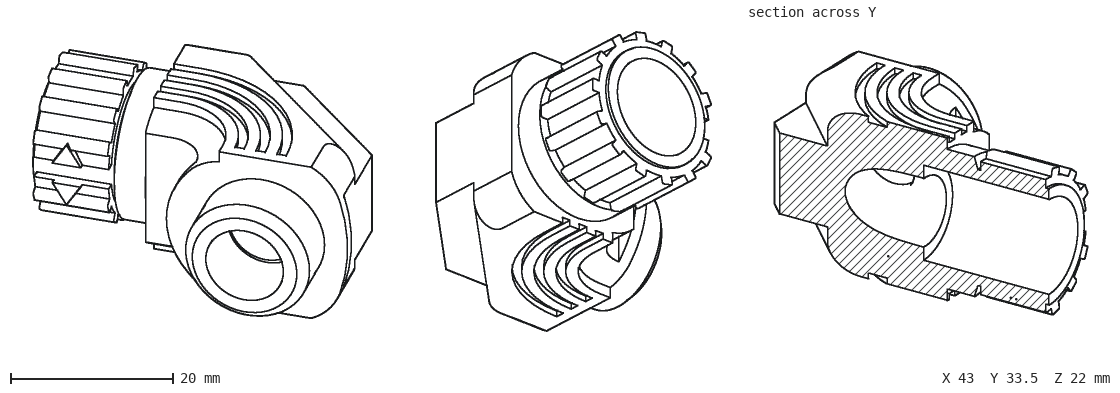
import cadquery as cq


body_start = 15.0
back_face = 10.6
right_face = 42.0
body_end = -15.45
half_height = 11.0
back_cut = 12.8

bend_x = 18.5
bend_y = -13.8
inner_wall_radius = 4.45
inner_step_radius = 7.9
inner_wall_half_height = 7.9
inner_step_half_height = 9.6
inner_corner_radius = 6.9

corner_width = 3.7
corner_drop = 4.35
corner_radius = 7.3

ledge_half_height = 5.5
ledge_width = 5.0
ledge_edge_radius = 3.55

groove_count = 3
groove_width = 1.2
groove_depth = 0.77
groove_pitch = 2.7
first_groove_radius = 9.45

nose_tip_left = 19.6
nose_root_left = 22.3
nose_root_half_height = 7.22
nose_tip_right = 43.0

nipple_x = 32.05
nipple_diameter = 16.0
nipple_end = -22.88
nipple_chamfer = 1.25
nipple_bore = 10.0

core_diameter = 15.8
nut_bore = 12.8
nut_start = 0.47
nut_end = 10.1
nut_radius = 9.05
rib_count = 14
rib_radius = 10.0
rib_width = 1.68
rib_edge_radius = 0.2
slot_half_width = 1.4
slot_angle = 180
collar_start = 10.5
collar_diameter = 19.0
collar_chamfer_length = 0.5
collar_chamfer_depth = (collar_diameter - core_diameter) / 2

arrow_face = -9.55
arrow_centre = 4.85
arrow_base = 3.7
arrow_tip = 4.35

passage_diameter = 9.3
passage_bend_radius = 13.4

overlap = 0.45


def rod(diameter, start, end):
    """Cylinder about the X axis."""
    return cq.Workplane("YZ", origin=(start, 0, 0)).circle(diameter / 2).extrude(end - start)


def nipple_rod(diameter, start, end):
    """Cylinder about the nipple axis, running toward -Y."""
    return cq.Workplane("XZ", origin=(nipple_x, start, 0)).circle(diameter / 2).extrude(start - end)


def both_sides(shape):
    """The shape together with its mirror image below Z = 0."""
    return shape.union(shape.mirror("XY"))


def make_blank():
    return (
        cq.Workplane("XY", origin=(0, 0, -half_height))
        .moveTo(body_start, back_face)
        .lineTo(right_face - back_cut, back_face)
        .lineTo(right_face, back_face - back_cut)
        .lineTo(right_face, body_end)
        .lineTo(bend_x + inner_wall_radius, body_end)
        .lineTo(bend_x + inner_wall_radius, bend_y)
        .radiusArc((bend_x, bend_y + inner_wall_radius), -inner_wall_radius)
        .lineTo(body_start, bend_y + inner_wall_radius)
        .close()
        .extrude(2 * half_height)
    )


def make_noses():
    """Flange arcs that stand out from the inner and outer walls at the nipple end."""
    left = bend_x + inner_wall_radius
    corner_height = half_height - corner_drop
    return (
        cq.Workplane("XZ", origin=(0, bend_y, 0))
        .moveTo(left, -inner_wall_half_height)
        .lineTo(nose_root_left, -nose_root_half_height)
        .threePointArc((nose_tip_left, 0), (nose_root_left, nose_root_half_height))
        .lineTo(left, inner_wall_half_height)
        .lineTo(right_face, corner_height)
        .threePointArc((nose_tip_right, 0), (right_face, -corner_height))
        .close()
        .extrude(bend_y - body_end)
    )


def inner_corner_section(workplane, centre):
    """Section outside the rounded inner edge, measured outward from the bend centre."""
    return (
        workplane.moveTo(centre + inner_wall_radius, inner_wall_half_height)
        .radiusArc((centre + inner_step_radius, inner_step_half_height), inner_corner_radius)
        .lineTo(centre + inner_step_radius, half_height + overlap)
        .lineTo(centre, half_height + overlap)
        .lineTo(centre, inner_wall_half_height)
        .close()
    )


def make_inner_corner():
    first_leg = inner_corner_section(cq.Workplane("YZ", origin=(body_start, 0, 0)), bend_y)
    bend = inner_corner_section(cq.Workplane("XZ", origin=(0, bend_y, 0)), bend_x)
    last_leg = inner_corner_section(cq.Workplane("XZ", origin=(0, bend_y, 0)), bend_x)
    return (
        first_leg.extrude(bend_x - body_start)
        .union(bend.revolve(90, (bend_x, 0, 0), (bend_x, 1, 0)))
        .union(last_leg.extrude(bend_y - body_end))
    )


def outer_corner_section(workplane, face):
    """Section outside the rounded edge of an outer face."""
    return (
        workplane.moveTo(face - corner_width, half_height)
        .radiusArc((face, half_height - corner_drop), corner_radius)
        .lineTo(face + overlap, half_height - corner_drop)
        .lineTo(face + overlap, half_height + overlap)
        .lineTo(face - corner_width, half_height + overlap)
        .close()
    )


def make_outer_corners():
    back = outer_corner_section(cq.Workplane("YZ", origin=(body_start, 0, 0)), back_face)
    right = outer_corner_section(cq.Workplane("XZ", origin=(0, back_face, 0)), right_face)
    return back.extrude(right_face - body_start).union(right.extrude(back_face - body_end))


def make_ledge_cut():
    """Space above the ledge, bounded by a wall parallel to the 45 degree cut."""
    middle_x = right_face - back_cut / 2
    middle_y = back_face - back_cut / 2
    reach = right_face - body_start
    diagonal = cq.Plane(origin=(middle_x, middle_y, 0), xDir=(1, 1, 0), normal=(1, -1, 0))
    wall = -ledge_width
    return (
        cq.Workplane(diagonal)
        .moveTo(overlap, ledge_half_height)
        .lineTo(wall, ledge_half_height)
        .lineTo(wall, half_height - ledge_edge_radius)
        .radiusArc((wall - ledge_edge_radius, half_height), -ledge_edge_radius)
        .lineTo(wall - ledge_edge_radius, half_height + overlap)
        .lineTo(overlap, half_height + overlap)
        .close()
        .extrude(reach, both=True)
    )


def make_groove(inner_radius):
    outer_radius = inner_radius + groove_width
    return (
        cq.Workplane("XY", origin=(0, 0, half_height - groove_depth))
        .moveTo(body_start, bend_y + outer_radius)
        .lineTo(bend_x, bend_y + outer_radius)
        .radiusArc((bend_x + outer_radius, bend_y), outer_radius)
        .lineTo(bend_x + inner_radius, bend_y)
        .radiusArc((bend_x, bend_y + inner_radius), -inner_radius)
        .lineTo(body_start, bend_y + inner_radius)
        .close()
        .extrude(groove_depth + overlap)
    )


def make_body():
    body = make_blank().cut(both_sides(make_inner_corner())).cut(both_sides(make_outer_corners()))
    body = body.cut(both_sides(make_ledge_cut())).union(make_noses())
    for index in range(groove_count):
        body = body.cut(both_sides(make_groove(first_groove_radius + index * groove_pitch)))
    return body


def make_nipple():
    return nipple_rod(nipple_diameter, body_end, nipple_end).faces("<Y").chamfer(nipple_chamfer)


def make_collar():
    return (
        rod(collar_diameter, collar_start, body_start)
        .faces("<X")
        .chamfer(collar_chamfer_length, collar_chamfer_depth)
    )


def make_nut():
    """Ribbed ring on a plain core; a slot to the core replaces the rib on the -Y side."""
    length = nut_end - nut_start
    rib = (
        cq.Workplane("XY")
        .box(length, rib_radius - core_diameter / 2, rib_width, centered=(False, False, True))
        .translate((nut_start, core_diameter / 2, 0))
        .edges("|X and >Y")
        .fillet(rib_edge_radius)
    )
    ring = rod(2 * nut_radius, nut_start, nut_end)
    for index in range(rib_count):
        angle = index * 360 / rib_count
        if angle != slot_angle:
            ring = ring.union(rib.rotate((0, 0, 0), (1, 0, 0), angle))
    for side in (1, -1):
        ring = ring.union(make_arrow(side))
    slot = (
        cq.Workplane("XY")
        .box(length, rib_radius, 2 * slot_half_width, centered=(False, False, True))
        .translate((nut_start, -rib_radius, 0))
    )
    return ring.cut(slot).union(rod(core_diameter, 0, collar_start))


def make_arrow(side):
    """Flat triangle pointing away from the slot."""
    return (
        cq.Workplane("XZ", origin=(arrow_centre, arrow_face, 0))
        .moveTo(-arrow_base / 2, side * slot_half_width)
        .lineTo(arrow_base / 2, side * slot_half_width)
        .lineTo(0, side * arrow_tip)
        .close()
        .extrude(arrow_face + core_diameter / 2)
    )


def make_passage():
    elbow = (
        cq.Workplane("YZ", origin=(bend_x, bend_y + passage_bend_radius, 0))
        .circle(passage_diameter / 2)
        .revolve(90, (-passage_bend_radius, 0.45, 0), (-passage_bend_radius, 0, 0))
    )
    return elbow.union(rod(nut_bore, 0, bend_x)).union(nipple_rod(nipple_bore, bend_y, nipple_end))


result = make_body().union(make_collar()).union(make_nut()).union(make_nipple()).cut(make_passage())